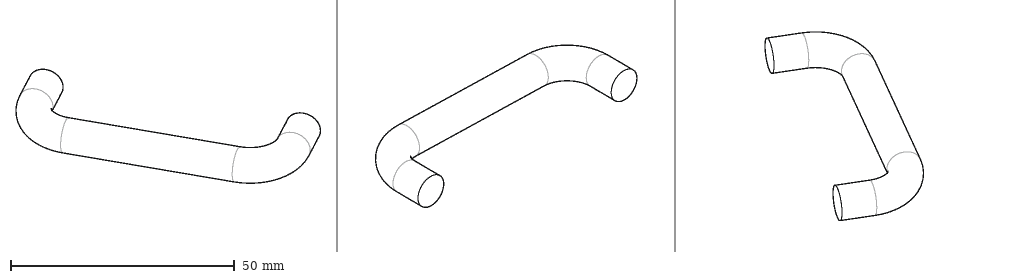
import cadquery as cq
import math

overall_length = 68.0
overall_depth = 22.0
rod_diameter = 8.0
bend_radius = 10.0

rod_radius = rod_diameter / 2
leg_x = overall_length / 2 - rod_radius
leg_end_y = overall_depth - rod_radius
grip_end_x = leg_x - bend_radius
bend_mid_offset = bend_radius * math.sin(math.radians(45))
bend_mid_x = grip_end_x + bend_mid_offset
bend_mid_y = bend_radius - bend_mid_offset

centreline = (
    cq.Workplane("XY")
    .moveTo(-leg_x, leg_end_y)
    .lineTo(-leg_x, bend_radius)
    .threePointArc((-bend_mid_x, bend_mid_y), (-grip_end_x, 0))
    .lineTo(grip_end_x, 0)
    .threePointArc((bend_mid_x, bend_mid_y), (leg_x, bend_radius))
    .lineTo(leg_x, leg_end_y)
)

result = (
    cq.Workplane("XZ", origin=(-leg_x, leg_end_y, 0))
    .circle(rod_radius)
    .sweep(centreline)
)